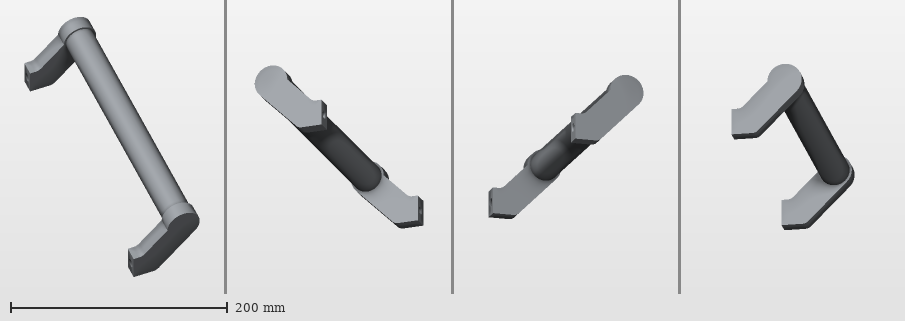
import cadquery as cq
import math

length = 264.0
depth = 66.0
height = 66.0

bracket_width = 14.0
head_radius = 16.0
grip_radius = 14.0
foot_height = 24.8
bend_radius = 8.0

hole_radius = 3.2
hole_mouth_radius = 4.0
hole_depth = 15.0
drill_point_angle = 118.0

grip_y = depth - head_radius
grip_z = height - head_radius
bracket_starts = (0.0, length - bracket_width)


def make_bracket(start_x):
    """Round head with an arm sloping at 45 degrees down to a square foot."""
    diagonal = head_radius * math.sqrt(0.5)
    arm_front_y = grip_y - head_radius
    inner_bend_y = arm_front_y - (grip_z - foot_height)
    tangent_y = grip_y + diagonal
    tangent_z = grip_z - diagonal
    outer_bend_y = tangent_y - tangent_z
    bracket = (
        cq.Workplane("YZ", origin=(start_x, 0, 0))
        .moveTo(0, 0)
        .lineTo(0, foot_height)
        .lineTo(inner_bend_y, foot_height)
        .lineTo(arm_front_y, grip_z)
        .threePointArc((grip_y, height), (depth, grip_z))
        .threePointArc(
            (
                grip_y + head_radius * math.cos(math.pi / 8),
                grip_z - head_radius * math.sin(math.pi / 8),
            ),
            (tangent_y, tangent_z),
        )
        .lineTo(outer_bend_y, 0)
        .close()
        .extrude(bracket_width)
    )
    middle_x = start_x + bracket_width / 2
    bends = cq.selectors.NearestToPointSelector
    bracket = bracket.edges(bends((middle_x, inner_bend_y, foot_height))).fillet(bend_radius)
    return bracket.edges(bends((middle_x, outer_bend_y, 0))).fillet(bend_radius)


def make_foot_hole(center_x):
    """Blind bore along +Y with a 45-degree chamfered mouth and a drill point."""
    mouth_depth = hole_mouth_radius - hole_radius
    point_depth = hole_radius / math.tan(math.radians(drill_point_angle / 2))
    return (
        cq.Workplane("XY")
        .moveTo(0, 0)
        .lineTo(hole_mouth_radius, 0)
        .lineTo(hole_radius, mouth_depth)
        .lineTo(hole_radius, hole_depth)
        .lineTo(0, hole_depth + point_depth)
        .close()
        .revolve(360, (0, 0), (0, 1))
        .translate((center_x, 0, foot_height / 2))
    )


result = cq.Workplane("YZ").center(grip_y, grip_z).circle(grip_radius).extrude(length)

for bracket_start in bracket_starts:
    foot_hole = make_foot_hole(bracket_start + bracket_width / 2)
    result = result.union(make_bracket(bracket_start).cut(foot_hole))